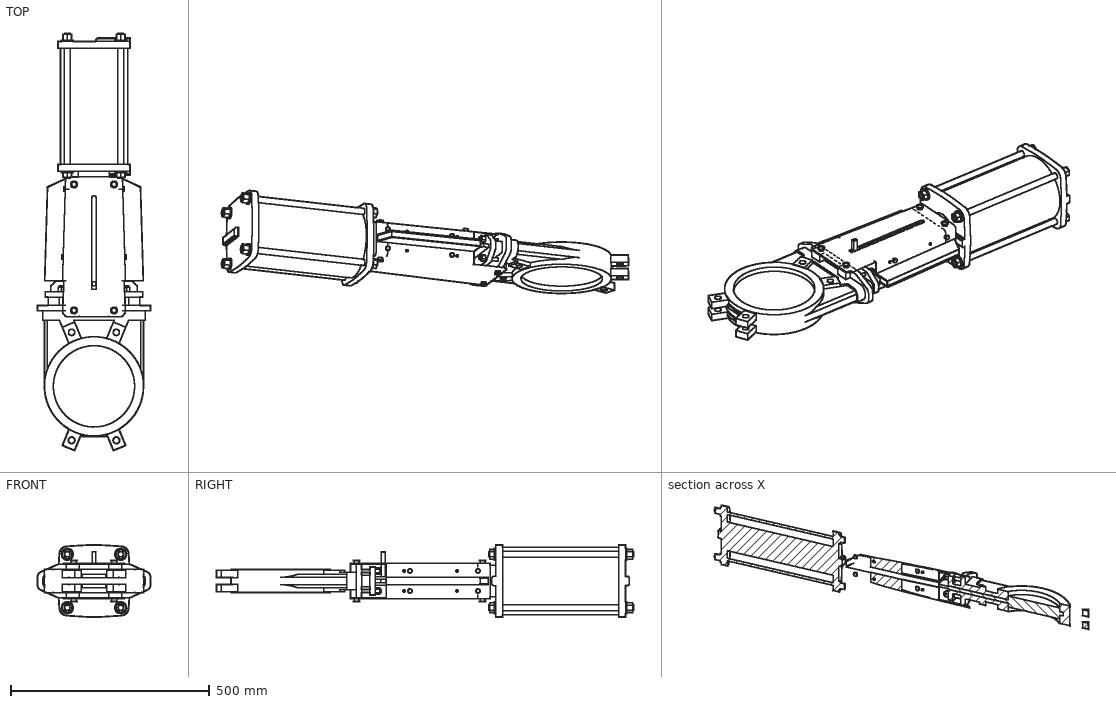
import cadquery as cq
import math


RING_RADIUS = 125.0
RING_HALF_HEIGHT = 29.0
BORE_DIAMETER = 205.0
CHEST_HALF_WIDTH = RING_RADIUS
CHEST_HALF_HEIGHT = 17.0
CHEST_CHAMFER = 7.0
FOOT_HALF_WIDTH = 29.0
FOOT_DROP = 2.0
FOOT_ROOT = 10.0

NECK_BOTTOM_Y = 166.0
NECK_HALF_WIDTH = 129.0
NECK_HALF_HEIGHT = 22.0
NECK_ROUND = 20.0

FLANGE_BOTTOM_Y = 190.0
FLANGE_THICKNESS = 14.0
FLANGE_TOP_Y = FLANGE_BOTTOM_Y + FLANGE_THICKNESS
FLANGE_HALF_WIDTH = 143.0
FLANGE_END_HALF_HEIGHT = 19.0
FLANGE_FLAT_HALF_WIDTH = 90.0
FLANGE_ROUND = 16.0

LUG_ANGLE = 22.5
LUG_WIDTH = 34.0
LUG_INNER_Z = 8.0
LUG_OUTER_Z = 27.0
BOLT_CIRCLE_RADIUS = 147.0
BOLT_HOLE_DIAMETER = 16.0

GLAND_HALF_WIDTH = 116.0
GLAND_HALF_HEIGHT = 15.0
GLAND_ROUND = 6.0
GLAND_PLATE_BOTTOM_Y = 225.0
GLAND_PLATE_TOP_Y = 239.0
GLAND_PLATE_HALF_WIDTH = 123.0
GLAND_PLATE_END_HALF_HEIGHT = 12.0
GLAND_PLATE_HALF_HEIGHT = 36.0
GLAND_PLATE_FLAT_HALF_WIDTH = 93.0
GLAND_PLATE_ROUND = 7.0
STUD_DIAMETER = 8.0
STUD_X = 83.0
STUD_Z = 25.0
STUD_TOP_Y = 254.0
GLAND_NUT_DIAMETER = 17.0
GLAND_NUT_HEIGHT = 10.0

GATE_HALF_WIDTH = 109.0
GATE_HALF_THICKNESS = 4.0
GATE_DISC_HALF_THICKNESS = 17.0
GATE_TOP_Y = 265.0
GATE_CORNER = 13.0
ROD_DIAMETER = 22.0
ROD_BOTTOM_Y = GLAND_PLATE_TOP_Y
POINTER_WIDTH = 8.0
POINTER_LENGTH = 10.0
POINTER_Y = 259.0
POINTER_TOP_Z = 74.0

SHEET = 2.6
YOKE_BOTTOM_Y = 176.0
YOKE_TOP_Y = 528.0
YOKE_HALF_HEIGHT = 45.0
YOKE_INNER_HALF_HEIGHT = YOKE_HALF_HEIGHT - SHEET
YOKE_TOP_HALF_WIDTH = 72.0
YOKE_TAPER = 0.03
YOKE_BEND_RADIUS = 9.0
YOKE_CORNER_X = 12.0
YOKE_CORNER_Y = 13.0
YOKE_HEAD_LENGTH = 32.0
SIDE_BOTTOM_Y = 266.0

WING_DEPTH = 45.0
WING_HALF_HEIGHT = 9.0
WING_SHOULDER_Y = 503.0
WING_PEAK_Y = 524.0

SLOT_WIDTH = 10.0
SLOT_BOTTOM_Y = 245.0
SLOT_TOP_Y = 481.0

MOUNT_BLOCK_INNER_X = 37.0
MOUNT_BLOCK_OUTER_X = 69.0

YOKE_BOLT_X = 50.0
YOKE_BOLT_YS = (192.0, 509.0)
YOKE_BOLT_SHANK_DIAMETER = 13.0
YOKE_BOLT_HEAD_DIAMETER = 17.0
YOKE_BOLT_HEIGHT = 7.0
YOKE_BOLT_HEAD_HEIGHT = 2.0

SIDE_FEATURE_Z = 25.0
SIDE_SCREW_YS = (326.0, 498.0)
SIDE_SCREW_DIAMETER = 10.0
SIDE_SCREW_HEIGHT = 4.0
SIDE_HOLE_YS = (312.0, 445.0)
SIDE_HOLE_DIAMETER = 5.0

COLLAR_DIAMETER = 80.0
PLATE_THICKNESS = 18.0
FRONT_PLATE_Y = 542.0
BACK_PLATE_Y = 852.0
BACK_PLATE_TOP_Y = BACK_PLATE_Y + PLATE_THICKNESS
TUBE_DIAMETER = 170.0
PLATE_HALF_SIZE = 91.0
PLATE_SIDE_FLAT = 15.0
PLATE_CROWN = 3.0
PLATE_CORNER_RADIUS = 21.0
TIE_ROD_OFFSET = 67.0
TIE_ROD_DIAMETER = 16.0
WASHER_DIAMETER = 29.0
WASHER_HEIGHT = 3.0
NUT_DIAMETER = 25.0
FRONT_NUT_HEIGHT = 15.0
BACK_NUT_HEIGHT = 18.0
ROD_END_DIAMETER = 14.0
ROD_END_HEIGHT = 2.0
PORT_INNER_X = 4.0
PORT_HALF_HEIGHT = 12.0
PORT_HEIGHT = 9.0
PORT_CHAMFER = 3.0
PORT_END_CHAMFER = 6.0

OVERALL_LENGTH = 1052
TOP_Y = BACK_PLATE_TOP_Y + BACK_NUT_HEIGHT + ROD_END_HEIGHT
LUG_TILT = math.radians(LUG_ANGLE)
LUG_END_RADIUS = (OVERALL_LENGTH - TOP_Y - LUG_WIDTH / 2 * math.sin(LUG_TILT)) / math.cos(LUG_TILT)

SIDES = (-1, 1)
QUADRANTS = [(sx, sz) for sx in SIDES for sz in SIDES]


def box(x_range, y_range, z_range):
    """Axis-aligned block between the given limits."""
    return (
        cq.Workplane("XY")
        .box(x_range[1] - x_range[0], y_range[1] - y_range[0], z_range[1] - z_range[0], centered=False)
        .translate((x_range[0], y_range[0], z_range[0]))
    )


def section_at(y):
    """Workplane across the valve at y; its local axes are X and Z, and it extrudes toward -Y."""
    return cq.Workplane("XZ", origin=(0, y, 0))


def plan_at(z):
    """Workplane at height z, seen from above; it extrudes upward."""
    return cq.Workplane("XY", origin=(0, 0, z))


def slab(outline, half_height):
    """Prism of a closed plan outline, centred on the mid plane."""
    return plan_at(-half_height).polyline(outline).close().extrude(2 * half_height)


def disc(radius, half_height):
    return plan_at(-half_height).circle(radius).extrude(2 * half_height)


def rod_along_y(x, z, diameter, y_low, y_high):
    return section_at(y_high).center(x, z).circle(diameter / 2).extrude(y_high - y_low)


def hexagon_along_y(x, z, diameter, y_low, y_high):
    """Hexagonal bar with two corners pointing along Z."""
    section = section_at(y_high).center(x, z).transformed(rotate=(0, 0, 90))
    return section.polygon(6, diameter).extrude(y_high - y_low)


def tapered_plate(y_low, y_high, quarter_outline, corner_radius):
    """Round-cornered plate across the valve; its outline is mirrored from the +X +Z quarter."""
    right_half = quarter_outline + [(x, -z) for x, z in reversed(quarter_outline)]
    outline = right_half + [(-x, z) for x, z in reversed(right_half)]
    plate = section_at(y_high).polyline(outline).close().extrude(y_high - y_low)
    return plate.edges("|Y").fillet(corner_radius)


def housing_shell():
    ring = disc(RING_RADIUS, RING_HALF_HEIGHT)
    chest = box(
        (-CHEST_HALF_WIDTH, CHEST_HALF_WIDTH), (0, NECK_BOTTOM_Y), (-CHEST_HALF_HEIGHT, CHEST_HALF_HEIGHT)
    ).edges("|Y").chamfer(CHEST_CHAMFER)
    foot = box(
        (-FOOT_HALF_WIDTH, FOOT_HALF_WIDTH),
        (-RING_RADIUS - FOOT_DROP, -RING_RADIUS + FOOT_ROOT),
        (LUG_INNER_Z, CHEST_HALF_HEIGHT),
    )
    neck = box(
        (-NECK_HALF_WIDTH, NECK_HALF_WIDTH),
        (NECK_BOTTOM_Y, FLANGE_BOTTOM_Y),
        (-NECK_HALF_HEIGHT, NECK_HALF_HEIGHT),
    ).edges("|Y").fillet(NECK_ROUND)
    return ring.union(chest).union(foot).union(foot.mirror("XY")).union(neck)


def flange():
    return tapered_plate(
        FLANGE_BOTTOM_Y,
        FLANGE_TOP_Y,
        [
            (FLANGE_FLAT_HALF_WIDTH, YOKE_INNER_HALF_HEIGHT),
            (FLANGE_HALF_WIDTH, FLANGE_END_HALF_HEIGHT),
        ],
        FLANGE_ROUND,
    )


def lug(angle, z_low, z_high, end_radius):
    """Bar pointing away from the bore centre; the angle is measured from +X."""
    start_radius = (BORE_DIAMETER / 2 + RING_RADIUS) / 2
    return box((start_radius, end_radius), (-LUG_WIDTH / 2, LUG_WIDTH / 2), (z_low, z_high)).rotate(
        (0, 0, 0), (0, 0, 1), angle
    )


def lugs():
    """Eight drilled lugs, and the lower webs which tie the upper ones to the neck."""
    web_end_radius = NECK_BOTTOM_Y / math.cos(LUG_TILT) + LUG_WIDTH / 2
    parts = cq.Workplane("XY")
    for side in SIDES:
        for middle in (90, 270):
            angle = middle + side * LUG_ANGLE
            for z_low, z_high in ((LUG_INNER_Z, LUG_OUTER_Z), (-LUG_OUTER_Z, -LUG_INNER_Z)):
                parts = parts.add(lug(angle, z_low, z_high, LUG_END_RADIUS))
        parts = parts.add(lug(90 + side * LUG_ANGLE, -NECK_HALF_HEIGHT, NECK_HALF_HEIGHT, web_end_radius))
    return parts.combine()


def lug_holes():
    """Upper holes are blind on the chest, lower holes pass through."""
    x = BOLT_CIRCLE_RADIUS * math.sin(LUG_TILT)
    y = BOLT_CIRCLE_RADIUS * math.cos(LUG_TILT)
    radius = BOLT_HOLE_DIAMETER / 2
    lower = plan_at(-LUG_OUTER_Z).pushPoints([(-x, -y), (x, -y)])
    holes = lower.circle(radius).extrude(2 * LUG_OUTER_Z)
    for side in SIDES:
        upper = plan_at(side * CHEST_HALF_HEIGHT).pushPoints([(-x, y), (x, y)])
        holes = holes.add(upper.circle(radius).extrude(side * LUG_OUTER_Z))
    return holes.combine()


def mount_blocks():
    """Blocks below the flange that carry the yoke plates."""
    blocks = cq.Workplane("XY")
    block = box(
        (MOUNT_BLOCK_INNER_X, MOUNT_BLOCK_OUTER_X),
        (YOKE_BOTTOM_Y, FLANGE_BOTTOM_Y),
        (0, YOKE_INNER_HALF_HEIGHT),
    )
    for mirrored in (block, block.mirror("YZ")):
        blocks = blocks.add(mirrored).add(mirrored.mirror("XY"))
    return blocks.combine()


def gland():
    """Packing gland above the flange, with its plate, studs and nuts."""
    sleeve = box(
        (-GLAND_HALF_WIDTH, GLAND_HALF_WIDTH),
        (FLANGE_TOP_Y, GLAND_PLATE_BOTTOM_Y),
        (-GLAND_HALF_HEIGHT, GLAND_HALF_HEIGHT),
    ).edges("|Y").fillet(GLAND_ROUND)
    plate = tapered_plate(
        GLAND_PLATE_BOTTOM_Y,
        GLAND_PLATE_TOP_Y,
        [
            (GLAND_PLATE_FLAT_HALF_WIDTH, GLAND_PLATE_HALF_HEIGHT),
            (GLAND_PLATE_HALF_WIDTH, GLAND_PLATE_END_HALF_HEIGHT),
        ],
        GLAND_PLATE_ROUND,
    )
    body = sleeve.union(plate)
    nut_top_y = GLAND_PLATE_TOP_Y + GLAND_NUT_HEIGHT
    for sx, sz in QUADRANTS:
        x, z = sx * STUD_X, sz * STUD_Z
        body = body.union(rod_along_y(x, z, STUD_DIAMETER, FLANGE_TOP_Y, STUD_TOP_Y))
        body = body.union(hexagon_along_y(x, z, GLAND_NUT_DIAMETER, GLAND_PLATE_TOP_Y, nut_top_y))
    return body


def gate_plate():
    """Flat blade with a round lower end and cut upper corners."""
    return (
        plan_at(-GATE_HALF_THICKNESS)
        .moveTo(-GATE_HALF_WIDTH, 0)
        .threePointArc((0, -GATE_HALF_WIDTH), (GATE_HALF_WIDTH, 0))
        .lineTo(GATE_HALF_WIDTH, GATE_TOP_Y - GATE_CORNER)
        .lineTo(GATE_HALF_WIDTH - GATE_CORNER, GATE_TOP_Y)
        .lineTo(GATE_CORNER - GATE_HALF_WIDTH, GATE_TOP_Y)
        .lineTo(-GATE_HALF_WIDTH, GATE_TOP_Y - GATE_CORNER)
        .close()
        .extrude(2 * GATE_HALF_THICKNESS)
    )


def closing_disc():
    """Thick disc on the blade that fills the middle of the bore."""
    return disc(BORE_DIAMETER / 2, GATE_DISC_HALF_THICKNESS)


def pointer():
    half_width, half_length = POINTER_WIDTH / 2, POINTER_LENGTH / 2
    y_range = (POINTER_Y - half_length, POINTER_Y + half_length)
    return box((-half_width, half_width), y_range, (0, POINTER_TOP_Z))


def yoke_half_width(y):
    return YOKE_TOP_HALF_WIDTH + YOKE_TAPER * (YOKE_TOP_Y - y)


def channel_block(inset, y_low, y_high):
    """Tapered block of the yoke channel, shrunk by the inset, with round long edges."""
    low = yoke_half_width(y_low) - inset
    high = yoke_half_width(y_high) - inset
    outline = [(-low, y_low), (low, y_low), (high, y_high), (-high, y_high)]
    block = slab(outline, YOKE_HALF_HEIGHT - inset)
    return block.faces("<X or >X").edges("<Z or >Z").fillet(YOKE_BEND_RADIUS - inset)


def wing_block(inset):
    """Flat block of both gate guards, shrunk by the inset except at its open ends."""
    low = yoke_half_width(SIDE_BOTTOM_Y) + WING_DEPTH - inset
    high = yoke_half_width(WING_SHOULDER_Y) + WING_DEPTH - inset
    peak = yoke_half_width(WING_PEAK_Y)
    right_half = [(low, SIDE_BOTTOM_Y), (high, WING_SHOULDER_Y), (peak, WING_PEAK_Y)]
    left_half = [(-x, y) for x, y in reversed(right_half)]
    return slab(right_half + left_half, WING_HALF_HEIGHT - inset)


def yoke_shell():
    """Folded sheet: two plates, side walls and hollow wings, with a solid head at the cylinder end."""
    head_y = YOKE_TOP_Y - YOKE_HEAD_LENGTH
    outer = channel_block(0, YOKE_BOTTOM_Y, YOKE_TOP_Y).union(wing_block(0))
    inner = channel_block(SHEET, YOKE_BOTTOM_Y, head_y).union(wing_block(SHEET))
    wide = FLANGE_HALF_WIDTH
    open_sides = box(
        (-wide, wide), (YOKE_BOTTOM_Y, SIDE_BOTTOM_Y), (-YOKE_INNER_HALF_HEIGHT, YOKE_INNER_HALF_HEIGHT)
    )
    head = channel_block(SHEET, head_y, YOKE_TOP_Y)
    return outer.cut(inner).cut(open_sides).union(head)


def yoke_corner_cuts():
    """Wedges that take off the lower corners of both plates."""
    x = yoke_half_width(YOKE_BOTTOM_Y)
    corner = [(x, YOKE_BOTTOM_Y), (x - YOKE_CORNER_X, YOKE_BOTTOM_Y), (x, YOKE_BOTTOM_Y + YOKE_CORNER_Y)]
    wedge = slab(corner, YOKE_HALF_HEIGHT)
    return wedge.add(wedge.mirror("YZ")).combine()


def pointer_slot():
    """Slot in the upper plate, round at its upper end."""
    radius = SLOT_WIDTH / 2
    return (
        plan_at(WING_HALF_HEIGHT)
        .moveTo(-radius, SLOT_BOTTOM_Y)
        .lineTo(radius, SLOT_BOTTOM_Y)
        .lineTo(radius, SLOT_TOP_Y - radius)
        .threePointArc((0, SLOT_TOP_Y), (-radius, SLOT_TOP_Y - radius))
        .close()
        .extrude(YOKE_HALF_HEIGHT)
    )


def yoke_bolts():
    points = [(side * YOKE_BOLT_X, y) for side in SIDES for y in YOKE_BOLT_YS]
    head_z = YOKE_HALF_HEIGHT + YOKE_BOLT_HEIGHT - YOKE_BOLT_HEAD_HEIGHT
    shanks = (
        plan_at(YOKE_HALF_HEIGHT)
        .pushPoints(points)
        .circle(YOKE_BOLT_SHANK_DIAMETER / 2)
        .extrude(YOKE_BOLT_HEIGHT)
    )
    heads = (
        plan_at(head_z)
        .pushPoints(points)
        .circle(YOKE_BOLT_HEAD_DIAMETER / 2)
        .extrude(YOKE_BOLT_HEAD_HEIGHT)
    )
    upper = shanks.union(heads)
    return upper.add(upper.mirror("XY")).combine()


def side_pins(ys, diameter, outward):
    """Pins along X through the side walls, standing out of them by the given height."""
    pins = cq.Workplane("XY")
    for y in ys:
        start = yoke_half_width(y) - SHEET
        for z in (-SIDE_FEATURE_Z, SIDE_FEATURE_Z):
            plane = cq.Workplane("YZ", origin=(start, y, z))
            pin = plane.circle(diameter / 2).extrude(SHEET + outward)
            pins = pins.add(pin).add(pin.mirror("YZ"))
    return pins.combine()


def quarter_turned(x, z, quarter):
    """Point turned clockwise about the centre by a number of right angles."""
    for _ in range(quarter):
        x, z = z, -x
    return x, z


def end_plate(y_low):
    """Square plate with slightly crowned sides and round corners."""
    edge = PLATE_HALF_SIZE - PLATE_CROWN
    corner = edge - PLATE_CORNER_RADIUS
    arc_middle = corner + PLATE_CORNER_RADIUS * math.sqrt(0.5)
    outline = section_at(y_low + PLATE_THICKNESS).moveTo(-PLATE_SIDE_FLAT, PLATE_HALF_SIZE)
    for quarter in range(4):
        outline = (
            outline.lineTo(*quarter_turned(PLATE_SIDE_FLAT, PLATE_HALF_SIZE, quarter))
            .lineTo(*quarter_turned(corner, edge, quarter))
            .threePointArc(
                quarter_turned(arc_middle, arc_middle, quarter), quarter_turned(edge, corner, quarter)
            )
            .lineTo(*quarter_turned(PLATE_HALF_SIZE, PLATE_SIDE_FLAT, quarter))
        )
    return outline.close().extrude(PLATE_THICKNESS)


def tie_rods():
    """Four rods between the end plates, with a washer and nut outside each plate."""
    rods = cq.Workplane("XY")
    for sx, sz in QUADRANTS:
        x, z = sx * TIE_ROD_OFFSET, sz * TIE_ROD_OFFSET
        rods = rods.add(rod_along_y(x, z, TIE_ROD_DIAMETER, FRONT_PLATE_Y, BACK_PLATE_TOP_Y))
        for face, direction, height in (
            (FRONT_PLATE_Y, -1, FRONT_NUT_HEIGHT),
            (BACK_PLATE_TOP_Y, 1, BACK_NUT_HEIGHT),
        ):
            washer = sorted((face, face + direction * WASHER_HEIGHT))
            nut = sorted((face, face + direction * height))
            rods = rods.add(rod_along_y(x, z, WASHER_DIAMETER, *washer))
            rods = rods.add(hexagon_along_y(x, z, NUT_DIAMETER, *nut))
            rod_end = sorted((face, face + direction * (height + ROD_END_HEIGHT)))
            rods = rods.add(rod_along_y(x, z, ROD_END_DIAMETER, *rod_end))
    return rods.combine()


def port_block(face, direction):
    """Air port bar on the outer face of an end plate, reaching to its +X side."""
    y_range = sorted((face, face + direction * PORT_HEIGHT))
    block = box((PORT_INNER_X, PLATE_HALF_SIZE), y_range, (-PORT_HALF_HEIGHT, PORT_HALF_HEIGHT))
    outer_face = ">Y" if direction > 0 else "<Y"
    block = block.faces(outer_face).edges("<X").chamfer(PORT_END_CHAMFER)
    return block.faces(outer_face).edges("|X").chamfer(PORT_CHAMFER)


def build_gate():
    rod = rod_along_y(0, 0, ROD_DIAMETER, ROD_BOTTOM_Y, YOKE_TOP_Y)
    return gate_plate().union(closing_disc()).union(rod).union(pointer())


def build_housing():
    body = housing_shell().union(flange()).union(lugs()).union(mount_blocks()).union(gland())
    bore = disc(BORE_DIAMETER / 2, RING_HALF_HEIGHT)
    return body.cut(bore).cut(lug_holes()).cut(gate_plate())


def build_actuator():
    front_plate = end_plate(FRONT_PLATE_Y)
    back_plate = end_plate(BACK_PLATE_Y)
    tube = rod_along_y(0, 0, TUBE_DIAMETER, FRONT_PLATE_Y, BACK_PLATE_Y)
    collar = rod_along_y(0, 0, COLLAR_DIAMETER, YOKE_TOP_Y, FRONT_PLATE_Y)
    cylinder = tube.union(front_plate).union(back_plate).union(collar).union(tie_rods())
    cylinder = cylinder.union(port_block(FRONT_PLATE_Y, -1)).union(port_block(BACK_PLATE_TOP_Y, 1))
    rod_hole = rod_along_y(0, 0, ROD_DIAMETER, YOKE_BOTTOM_Y, YOKE_TOP_Y)
    side_holes = side_pins(SIDE_HOLE_YS, SIDE_HOLE_DIAMETER, SIDE_SCREW_HEIGHT)
    yoke = yoke_shell().cut(yoke_corner_cuts()).cut(pointer_slot()).cut(rod_hole).cut(side_holes)
    yoke = yoke.union(yoke_bolts())
    yoke = yoke.union(side_pins(SIDE_SCREW_YS, SIDE_SCREW_DIAMETER, SIDE_SCREW_HEIGHT))
    return cylinder.union(yoke)


housing = build_housing()
gate = build_gate()
actuator = build_actuator()

result = cq.Compound.makeCompound([housing.val(), gate.val(), actuator.val()])